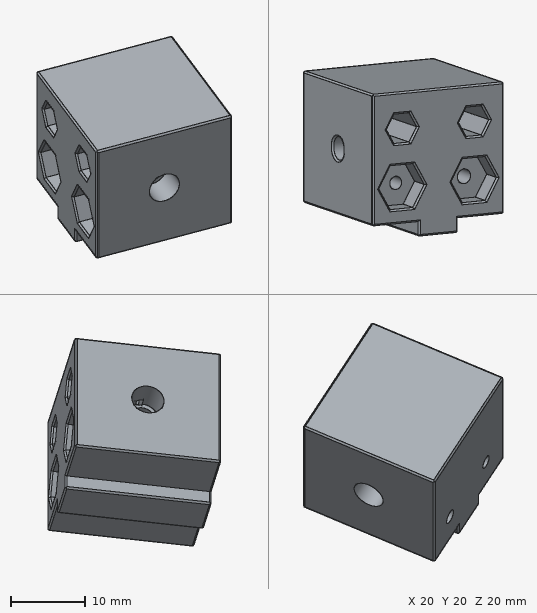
import cadquery as cq
import math

SIZE = 20.0
TOP = SIZE / 2
BOTTOM = -SIZE / 2
FRONT = -SIZE / 2
LEFT = -SIZE / 2
RIGHT = SIZE / 2
KEY_WIDTH = 6.0
KEY_HEIGHT = 2.0
SHOULDER = BOTTOM + KEY_HEIGHT

POCKET_OFFSET = 5.5
SMALL_FLATS = 4.0
SMALL_MOUTH_FLATS = 4.5
SMALL_DEPTH = SIZE / 2
SMALL_Z = BOTTOM + 15.0
LARGE_FLATS = 6.0
LARGE_DEPTH = 3.0
LARGE_Z = BOTTOM + 7.0

EDGE_CHAMFER = (SMALL_MOUTH_FLATS - SMALL_FLATS) / 2
CHAMFER_ANGLE = 45.0
FRONT_EDGE_EASING = 0.105

PIN_HOLES = [(-4.9, 1.8), (POCKET_OFFSET, 2.0)]

BORE_DIAMETER = 3.2
COUNTERBORE_DIAMETER = 4.4
COUNTERBORE_DEPTH = 4.2
BORE_Z = BOTTOM + 11.0


def mitred_block(width, bottom, top, eased=False):
    """Block of full depth, all edges chamfered, with the chamfers meeting in plain mitres at the corners.

    An eased block has a second, smaller chamfer beside each upright front edge.
    """
    center_z = (bottom + top) / 2
    blank = cq.Workplane("XY", origin=(0, 0, center_z)).box(width, SIZE, top - bottom)
    upright = blank.edges("|Z").chamfer(EDGE_CHAMFER)
    if eased:
        upright = upright.faces("<X or >X").edges("|Z and <Y").chamfer(FRONT_EDGE_EASING)
    lengthwise = blank.edges("|Y").chamfer(EDGE_CHAMFER)
    crosswise = blank.edges("|X").chamfer(EDGE_CHAMFER)
    return upright.intersect(lengthwise).intersect(crosswise)


def keyed_block():
    """Main block with the key below it; the upper half of the key is buried in the block."""
    block = mitred_block(SIZE, SHOULDER, TOP, eased=True)
    key = mitred_block(KEY_WIDTH, BOTTOM, SHOULDER + KEY_HEIGHT)
    return block.union(key)


def hex_prism(x, z, flats, y, length, taper=0):
    """Hexagonal prism starting at y and running toward +Y, with flats at top and bottom."""
    across_corners = flats / math.cos(math.pi / 6)
    plane = cq.Workplane("XZ", origin=(x, y, z))
    return plane.polygon(6, across_corners).extrude(-length, taper=taper)


def hex_pocket(x, z, flats, depth):
    """Hexagonal pocket cutter with a 45 degree lead-in at the front face."""
    pocket = hex_prism(x, z, flats, FRONT, depth)
    lead_in = hex_prism(x, z, flats + 2 * EDGE_CHAMFER, FRONT, EDGE_CHAMFER, taper=CHAMFER_ANGLE)
    return pocket.union(lead_in)


def pin_hole(x, diameter):
    """Round through hole along Y at the height of the large pockets."""
    plane = cq.Workplane("XZ", origin=(x, 0, LARGE_Z))
    return plane.circle(diameter / 2).extrude(SIZE, both=True)


def cross_bore():
    """Through bore along X, chamfered at -X and counterbored from +X."""
    radius = BORE_DIAMETER / 2
    entry = cq.Workplane("YZ", origin=(LEFT, 0, BORE_Z))
    bore = entry.circle(radius).extrude(SIZE)
    lead_in = entry.circle(radius + EDGE_CHAMFER).extrude(EDGE_CHAMFER, taper=CHAMFER_ANGLE)
    far_side = cq.Workplane("YZ", origin=(RIGHT, 0, BORE_Z))
    counterbore = far_side.circle(COUNTERBORE_DIAMETER / 2).extrude(-COUNTERBORE_DEPTH)
    return bore.union(lead_in).union(counterbore)


result = keyed_block()
for side in (-1, 1):
    pocket_x = side * POCKET_OFFSET
    result = result.cut(hex_pocket(pocket_x, SMALL_Z, SMALL_FLATS, SMALL_DEPTH))
    result = result.cut(hex_pocket(pocket_x, LARGE_Z, LARGE_FLATS, LARGE_DEPTH))
for hole_x, hole_diameter in PIN_HOLES:
    result = result.cut(pin_hole(hole_x, hole_diameter))
result = result.cut(cross_bore())